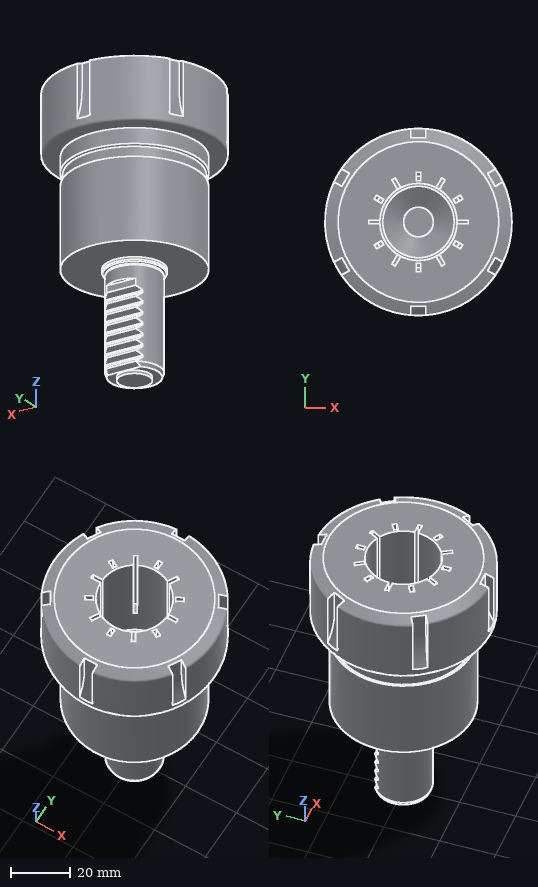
import cadquery as cq
import math

TOTAL_HEIGHT = 107.3

PILOT_RADIUS = 6.0
PILOT_HEIGHT = 1.2
SHANK_RADIUS = 10.0
SHANK_TOP = 38.2
SHANK_CHAMFER_HEIGHT = 1.6
SHANK_CHAMFER_WIDTH = 0.6

NECK_RADIUS = 9.7
NECK_Z = 38.8
FLANGE_RADIUS = 11.1
FLANGE_BEVEL_TOP = 39.7
FLANGE_BOTTOM = 39.2
FLANGE_BOTTOM_RADIUS = 10.7

BODY_RADIUS = 25.0
BODY_BOTTOM = 40.7
GROOVE_RADIUS = 24.3
GROOVE_BOTTOM = 71.5
GROOVE_TOP = 75.4
GROOVE_BEVEL = BODY_RADIUS - GROOVE_RADIUS

NUT_DIAMETER = 63.0
NUT_RADIUS = NUT_DIAMETER / 2
NUT_BOTTOM = 82.0
NUT_ROUND = 1.0
NUT_FACE_RADIUS = 27.0
NUT_BEVEL_ANGLE = 20.0

SPANNER_SLOTS = 6
SPANNER_FIRST_ANGLE = 30.0
SPANNER_SLOT_WIDTH = 5.0
SPANNER_FLOOR_RADIUS = 28.3
SPANNER_FLOOR_BOTTOM = 97.1
SPANNER_SLOT_BOTTOM = 85.2

BORE_RADIUS = 13.0
BORE_BOTTOM = 64.4
SEAT_RADIUS = 12.0
SEAT_TIP_DIAMETER = 10.0
SEAT_TIP_RADIUS = SEAT_TIP_DIAMETER / 2
SEAT_SLOPE_ANGLE = 30.0
SEAT_DEPTH = (SEAT_RADIUS - SEAT_TIP_RADIUS) * math.tan(math.radians(SEAT_SLOPE_ANGLE))

COLLET_RADIUS = 16.7
COLLET_DEPTH = 37.6
COLLET_SLITS = 6
SLIT_WIDTH = 1.3
SLIT_DEPTH = 32.2
NOTCH_FIRST_ANGLE = 180 / COLLET_SLITS
NOTCH_WIDTH = 1.5
NOTCH_INNER_RADIUS = 14.0
NOTCH_FLOOR_OUTER_RADIUS = 15.5
NOTCH_DEPTH = 10.7

RACK_FLAT_Y = 8.2
RACK_ROOT_Y = 6.4
RACK_TOP = 33.3
RACK_PITCH = 4.0
RACK_GAPS = 8
RACK_FIRST_GAP_Z = 28.7
RACK_ROOT_WIDTH = 0.6


def revolve_outline(points):
    """Solid of revolution about Z from (radius, height) points."""
    return cq.Workplane("XZ").polyline(points).close().revolve(360, (0, 0, 0), (0, 1, 0))


def shank_and_body():
    """Turned shape from the pilot up to the underside of the nut."""
    return revolve_outline([
        (0, 0),
        (PILOT_RADIUS, 0),
        (PILOT_RADIUS, PILOT_HEIGHT),
        (SHANK_RADIUS - SHANK_CHAMFER_WIDTH, PILOT_HEIGHT),
        (SHANK_RADIUS, PILOT_HEIGHT + SHANK_CHAMFER_HEIGHT),
        (SHANK_RADIUS, SHANK_TOP),
        (NECK_RADIUS, NECK_Z),
        (FLANGE_BOTTOM_RADIUS, FLANGE_BOTTOM),
        (FLANGE_RADIUS, FLANGE_BEVEL_TOP),
        (FLANGE_RADIUS, BODY_BOTTOM),
        (BODY_RADIUS, BODY_BOTTOM),
        (BODY_RADIUS, GROOVE_BOTTOM),
        (GROOVE_RADIUS, GROOVE_BOTTOM),
        (GROOVE_RADIUS, GROOVE_TOP),
        (BODY_RADIUS, GROOVE_TOP + GROOVE_BEVEL),
        (BODY_RADIUS, NUT_BOTTOM),
        (0, NUT_BOTTOM),
    ])


def clamping_nut():
    """Nut with a shallow cone around its face and rounded rims."""
    bevel_drop = (NUT_RADIUS - NUT_FACE_RADIUS) * math.tan(math.radians(NUT_BEVEL_ANGLE))
    nut = revolve_outline([
        (0, NUT_BOTTOM),
        (NUT_RADIUS, NUT_BOTTOM),
        (NUT_RADIUS, TOTAL_HEIGHT - bevel_drop),
        (NUT_FACE_RADIUS, TOTAL_HEIGHT),
        (0, TOTAL_HEIGHT),
    ])
    rims = cq.selectors.RadiusNthSelector(-1)
    return nut.edges("%CIRCLE").edges(rims).fillet(NUT_ROUND)


def bore():
    """Collet bore with its conical seat and flat tip."""
    return revolve_outline([
        (0, BORE_BOTTOM - SEAT_DEPTH),
        (SEAT_TIP_RADIUS, BORE_BOTTOM - SEAT_DEPTH),
        (SEAT_RADIUS, BORE_BOTTOM),
        (BORE_RADIUS, BORE_BOTTOM),
        (BORE_RADIUS, TOTAL_HEIGHT),
        (0, TOTAL_HEIGHT),
    ])


def around_axis(shape, count, first_angle):
    """Copies of a shape spaced evenly about the Z axis."""
    copies = cq.Workplane("XY")
    for i in range(count):
        copies = copies.add(shape.rotate((0, 0, 0), (0, 0, 1), first_angle + i * 360 / count))
    return copies.combine()


def spanner_slot():
    """Slot with a flat floor that sweeps out to the nut's side along an arc."""
    rise = NUT_RADIUS - SPANNER_FLOOR_RADIUS
    run = SPANNER_FLOOR_BOTTOM - SPANNER_SLOT_BOTTOM
    sweep_radius = (rise**2 + run**2) / (2 * rise)
    cutter_center = SPANNER_FLOOR_RADIUS + sweep_radius
    end_z = SPANNER_FLOOR_BOTTOM - sweep_radius
    diagonal = sweep_radius * math.sqrt(0.5)
    return (
        cq.Workplane("XZ")
        .moveTo(SPANNER_FLOOR_RADIUS, TOTAL_HEIGHT)
        .lineTo(SPANNER_FLOOR_RADIUS, SPANNER_FLOOR_BOTTOM)
        .threePointArc(
            (cutter_center - diagonal, SPANNER_FLOOR_BOTTOM - diagonal),
            (cutter_center, end_z),
        )
        .lineTo(cutter_center, TOTAL_HEIGHT)
        .close()
        .extrude(SPANNER_SLOT_WIDTH / 2, both=True)
    )


def collet_blank():
    """Solid plug with the outer size of the collet sleeve."""
    return (
        cq.Workplane("XY")
        .workplane(offset=TOTAL_HEIGHT - COLLET_DEPTH)
        .circle(COLLET_RADIUS)
        .extrude(COLLET_DEPTH)
    )


def collet_slit():
    """Slit through the collet wall, open to the bore."""
    return cq.Workplane("XY").box(
        COLLET_RADIUS, SLIT_WIDTH, SLIT_DEPTH, centered=(False, True, False)
    ).translate((0, 0, TOTAL_HEIGHT - SLIT_DEPTH))


def collet_notch():
    """Deep notch at the collet rim, its outer wall leaning inward as it goes down."""
    floor_z = TOTAL_HEIGHT - NOTCH_DEPTH
    return (
        cq.Workplane("XZ")
        .polyline([
            (NOTCH_INNER_RADIUS, TOTAL_HEIGHT),
            (NOTCH_INNER_RADIUS, floor_z),
            (NOTCH_FLOOR_OUTER_RADIUS, floor_z),
            (COLLET_RADIUS, TOTAL_HEIGHT),
        ])
        .close()
        .extrude(NOTCH_WIDTH / 2, both=True)
    )


def rack_cut():
    """Flat along the shank with evenly pitched 90 degree tooth gaps."""
    cut = cq.Workplane("XY").box(
        2 * SHANK_RADIUS, SHANK_RADIUS, RACK_TOP, centered=(True, False, False)
    ).translate((0, RACK_FLAT_Y, 0))
    half_root = RACK_ROOT_WIDTH / 2
    half_mouth = half_root + RACK_FLAT_Y - RACK_ROOT_Y
    for i in range(RACK_GAPS):
        z = RACK_FIRST_GAP_Z - i * RACK_PITCH
        gap = (
            cq.Workplane("YZ")
            .polyline([
                (RACK_FLAT_Y, z - half_mouth),
                (RACK_ROOT_Y, z - half_root),
                (RACK_ROOT_Y, z + half_root),
                (RACK_FLAT_Y, z + half_mouth),
            ])
            .close()
            .extrude(SHANK_RADIUS, both=True)
        )
        cut = cut.union(gap)
    return cut


holder = (
    shank_and_body()
    .union(clamping_nut())
    .cut(bore())
    .cut(collet_blank())
    .cut(around_axis(spanner_slot(), SPANNER_SLOTS, SPANNER_FIRST_ANGLE))
    .cut(rack_cut())
)
collet = (
    collet_blank()
    .cut(bore())
    .cut(around_axis(collet_slit(), COLLET_SLITS, 0))
    .cut(around_axis(collet_notch(), COLLET_SLITS, NOTCH_FIRST_ANGLE))
)
result = holder.union(collet, clean=False)